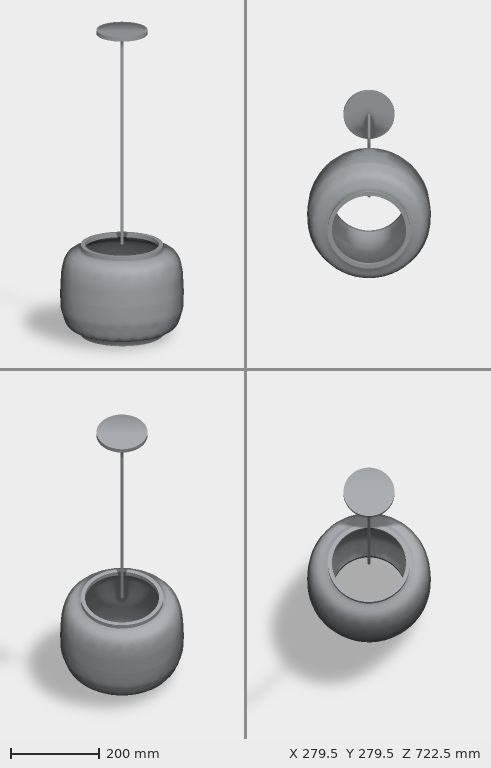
import cadquery as cq
import math

TOTAL_HEIGHT = 722.5

SHADE_HEIGHT = 212.5
SHADE_DIAMETER = 279.5
SHADE_RADIUS = SHADE_DIAMETER / 2
SIDE_HALF_HEIGHT = 54.0
SIDE_TAPER = 4.0
COLLAR_RADIUS = 93.0
COLLAR_HEIGHT = 10.0
WALL = 9.5
SHOULDER_RADIUS = 125.0
SHOULDER_HEIGHT = 81.0
SHOULDER_DIRECTION = math.sqrt(0.5)
OUTER_COLLAR_SLOPE = 0.3
INNER_COLLAR_SLOPE = 0.8

CANOPY_RADIUS = 58.0
CANOPY_THICKNESS = 10.0
ROD_RADIUS = 3.5

MID_HEIGHT = SHADE_HEIGHT / 2
CANOPY_BOTTOM = TOTAL_HEIGHT - CANOPY_THICKNESS


def barrel(inset, end_radius, collar_slope):
    """Solid barrel inset from the outer surface, with straight collars at both ends."""
    side_radius = SHADE_RADIUS - inset
    side_end = side_radius - SIDE_TAPER
    shoulder_top = MID_HEIGHT - COLLAR_HEIGHT

    upper = [
        (side_radius, 0),
        (side_end, SIDE_HALF_HEIGHT),
        (SHOULDER_RADIUS - inset * SHOULDER_DIRECTION, SHOULDER_HEIGHT - inset * SHOULDER_DIRECTION),
        (end_radius, shoulder_top),
    ]
    lower = [(r, -z) for r, z in reversed(upper)]

    profile = (
        cq.Workplane("XZ", origin=(0, 0, MID_HEIGHT))
        .moveTo(0, -MID_HEIGHT)
        .lineTo(end_radius, -MID_HEIGHT)
        .lineTo(end_radius, -shoulder_top)
        .spline(lower[1:], tangents=[(1, collar_slope), (0, 1)], includeCurrent=True)
        .spline(upper[1:], tangents=[(0, 1), (-1, collar_slope)], includeCurrent=True)
        .lineTo(end_radius, MID_HEIGHT)
        .lineTo(0, MID_HEIGHT)
        .close()
    )
    return profile.revolve(360, (0, 0), (0, 1))


def make_shade():
    """Barrel shell with open collars; the wall narrows a little towards the collars."""
    outside = barrel(0, COLLAR_RADIUS, OUTER_COLLAR_SLOPE)
    inside = barrel(WALL, COLLAR_RADIUS - WALL, INNER_COLLAR_SLOPE)
    return outside.cut(inside)


def make_rod():
    """Thin rod from the canopy down to the plane of the shade's upper rim."""
    length = CANOPY_BOTTOM - SHADE_HEIGHT
    return cq.Workplane("XY", origin=(0, 0, SHADE_HEIGHT)).circle(ROD_RADIUS).extrude(length)


def make_canopy():
    """Flat round disc at the top."""
    return cq.Workplane("XY", origin=(0, 0, CANOPY_BOTTOM)).circle(CANOPY_RADIUS).extrude(CANOPY_THICKNESS)


shade = make_shade()
rod = make_rod()
canopy = make_canopy()

result = cq.Compound.makeCompound([shade.val(), rod.val(), canopy.val()])